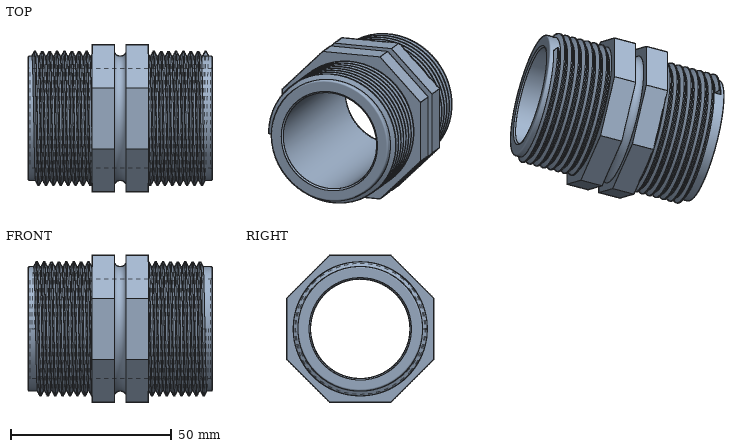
import cadquery as cq
import math


total_length = 57.5
half_length = total_length / 2
collar_width = 7.0
collar_gap = 3.5

across_flats = 46.0
collar_sides = 8
across_corners = across_flats / math.cos(math.pi / collar_sides)

bore_radius = 15.5
rim_round = 0.5
mouth_bevel = 0.5

groove_depth = 1.0

thread_pitch = 2.309
thread_depth = 1.479
crest_diameter = 41.91
crest_radius = crest_diameter / 2
root_radius = crest_radius - thread_depth
flank_angle = math.radians(55 / 2)
thread_overlap = 0.2
crest_width = thread_pitch / 6
base_width = crest_width + 2 * (thread_depth + thread_overlap) * math.tan(flank_angle)
thread_start = 2.1
thread_turns = 9


def make_body():
    """Plain tube blank with rounded outer rims."""
    body = cq.Workplane("YZ").circle(root_radius).extrude(half_length, both=True)
    return body.faces("<X or >X").edges().fillet(rim_round)


def make_collar(x_start):
    """Octagonal collar with flats facing Y and Z."""
    return (
        cq.Workplane("YZ")
        .workplane(offset=x_start)
        .transformed(rotate=(0, 0, 180 / collar_sides))
        .polygon(collar_sides, across_corners)
        .extrude(collar_width)
    )


def make_groove_ring():
    """Ring between the collars whose outside is a concave arc."""
    edge_radius = root_radius + groove_depth
    half_gap = collar_gap / 2
    return (
        cq.Workplane("XY")
        .moveTo(-half_gap, bore_radius)
        .lineTo(-half_gap, edge_radius)
        .threePointArc((0, root_radius), (half_gap, edge_radius))
        .lineTo(half_gap, bore_radius)
        .close()
        .revolve(360, (0, 0, 0), (1, 0, 0))
    )


def make_thread():
    """Right-hand helical ridge at the -X end, starting on the +Y side."""
    x_start = -half_length + thread_start
    base_radius = root_radius - thread_overlap
    helix = cq.Wire.makeHelix(
        thread_pitch, thread_turns * thread_pitch, root_radius,
        center=cq.Vector(0, 0, 0), dir=cq.Vector(0, 0, 1),
    )
    ridge = (
        cq.Workplane("XZ")
        .polyline([
            (base_radius, -base_width / 2),
            (crest_radius, -crest_width / 2),
            (crest_radius, crest_width / 2),
            (base_radius, base_width / 2),
        ])
        .close()
        .sweep(cq.Workplane(obj=helix), isFrenet=True)
    )
    ridge = ridge.rotate((0, 0, 0), (1, 1, 1), 120)
    return ridge.translate((x_start, 0, 0))


def make_bore():
    """Through bore widened by a small bevel at each mouth."""
    mouth_radius = bore_radius + mouth_bevel
    return (
        cq.Workplane("XY")
        .moveTo(-half_length, 0)
        .lineTo(-half_length, mouth_radius)
        .lineTo(-half_length + mouth_bevel, bore_radius)
        .lineTo(half_length - mouth_bevel, bore_radius)
        .lineTo(half_length, mouth_radius)
        .lineTo(half_length, 0)
        .close()
        .revolve(360, (0, 0, 0), (1, 0, 0))
    )


left_thread = make_thread()
right_thread = left_thread.rotate((0, 0, 0), (0, 1, 0), 180)

result = (
    make_body()
    .union(left_thread)
    .union(right_thread)
    .union(make_collar(-collar_gap / 2 - collar_width))
    .union(make_collar(collar_gap / 2))
    .union(make_groove_ring())
    .cut(make_bore())
)